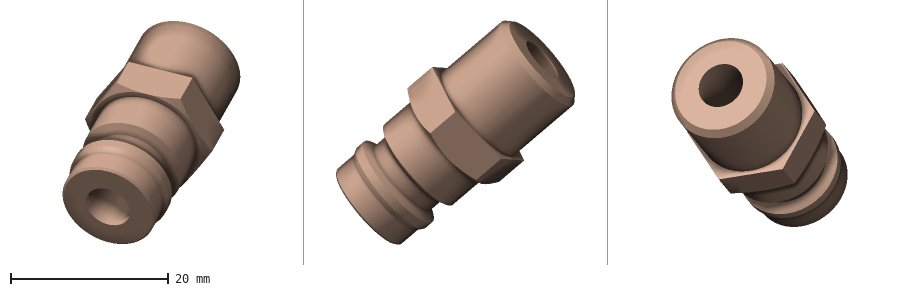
import cadquery as cq
import math

total_length = 30.0
bore_diameter = 6.0

hex_across_flats = 15.0
hex_start = 14.0
hex_end = 19.0
hex_chamfer_angle = 30.0

shank_radius = 7.0
shank_chamfer_length = 0.8
shank_chamfer_depth = 0.8

tip_radius = 6.27
tip_chamfer = 0.27
body_radius = 6.72
neck_radius = 5.4

collar_cone_start = 3.2
collar_start = 4.02
collar_end = 5.22
neck_start = 5.95
neck_end = 7.98
body_start = 8.7


def revolve_about_axis(points):
    """Revolve a closed (radius, Y) outline about the Y axis."""
    return cq.Workplane("XY").polyline(points).close().revolve(360, (0, 0, 0), (0, 1, 0))


def make_turned_body():
    """Plug with its locking groove, joined to the plain shank."""
    return revolve_about_axis([
        (0, 0),
        (tip_radius - tip_chamfer, 0),
        (tip_radius, tip_chamfer),
        (tip_radius, collar_cone_start),
        (body_radius, collar_start),
        (body_radius, collar_end),
        (neck_radius, neck_start),
        (neck_radius, neck_end),
        (body_radius, body_start),
        (body_radius, hex_start),
        (shank_radius, hex_start),
        (shank_radius, total_length - shank_chamfer_length),
        (shank_radius - shank_chamfer_depth, total_length),
        (0, total_length),
    ])


def make_hex():
    """Hexagon with corners on X, its corners chamfered on the plug side."""
    flat_radius = hex_across_flats / 2
    corner_radius = flat_radius / math.cos(math.radians(30))
    cone_radius = 1.1 * corner_radius
    cone_length = (cone_radius - flat_radius) * math.tan(math.radians(hex_chamfer_angle))
    prism = (
        cq.Workplane("XZ", origin=(0, hex_start, 0))
        .polygon(6, 2 * corner_radius)
        .extrude(hex_start - hex_end)
    )
    envelope = revolve_about_axis([
        (0, hex_start),
        (flat_radius, hex_start),
        (cone_radius, hex_start + cone_length),
        (cone_radius, hex_end),
        (0, hex_end),
    ])
    return prism.intersect(envelope)


def make_bore():
    """Straight bore through the full length."""
    return cq.Workplane("XZ").circle(bore_diameter / 2).extrude(-total_length)


result = make_turned_body().union(make_hex()).cut(make_bore())